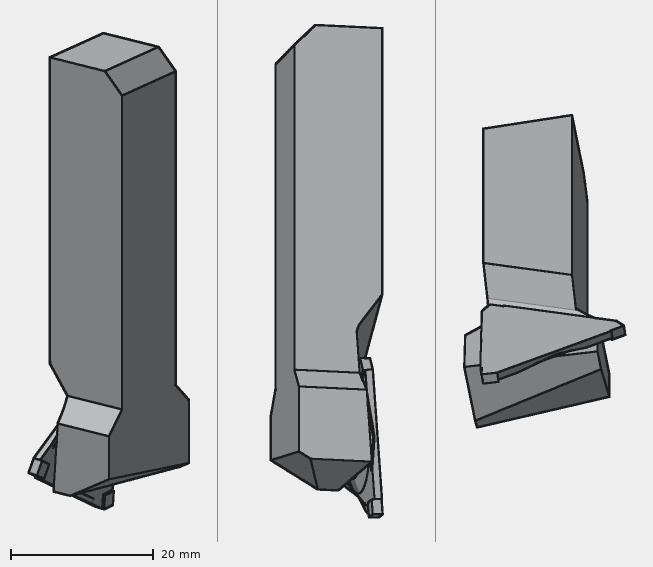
import cadquery as cq
import math

SHANK_SIDE = 12.62
SHANK_TOP = 63.06
TOP_CHAMFER = 3.0
HEAD_OVERHANG = 3.1
HEAD_STRAIGHT = 10.3
HEAD_FRONT = -HEAD_OVERHANG
HEAD_BACK = SHANK_SIDE + HEAD_OVERHANG

BEVEL_ANGLE = 30.0
BEVEL_HEIGHT_FRONT = 3.9
BEVEL_HEIGHT_BACK = 0.95

SEAT_ANGLE = 30.0
SEAT_TILT = 4.7
SEAT_DEPTH = 2.83
RUNOUT_START = 15.2
RUNOUT_ANGLE = 40.4
RUNOUT_RADIUS = 1.8
SEAT_END = -20.0
CLEARANCE = 2.0
SEAT_LENGTH = 60.0

INSERT_CENTER_Y = 5.91
INSERT_CENTER_Z = 4.2
INSERT_THICKNESS = 1.81
PLATE_THICKNESS = 1.1
NOSE_THICKNESS = 1.45
EDGE_DISTANCE = 7.17
NOSE_REACH = 11.03
NOSE_SIDE = 6.96
NOSE_LENGTH = 2.15
BOSS_BASE_RADIUS = 6.4
BOSS_TOP_RADIUS = 4.3
CORNERS = 3
NOTCH_FLOOR = 0.45
NOTCH_STEEP_RUN = 4.6
NOTCH_GENTLE_RUN = 6.5
NOTCH_WIDTH = EDGE_DISTANCE - BOSS_BASE_RADIUS

seat_cos = math.cos(math.radians(SEAT_ANGLE))
seat_sin = math.sin(math.radians(SEAT_ANGLE))
tilt = math.radians(SEAT_TILT)
seat_slope = math.tan(tilt)


def make_blank():
    shoulder_top = HEAD_STRAIGHT + HEAD_OVERHANG
    side_outline = [
        (HEAD_FRONT, 0),
        (HEAD_BACK, 0),
        (HEAD_BACK, HEAD_STRAIGHT),
        (SHANK_SIDE, shoulder_top),
        (SHANK_SIDE, SHANK_TOP),
        (0, SHANK_TOP),
        (0, shoulder_top),
        (HEAD_FRONT, HEAD_STRAIGHT),
    ]
    blank = cq.Workplane("YZ").polyline(side_outline).close().extrude(SHANK_SIDE)
    return blank.edges(">Z and >X").chamfer(TOP_CHAMFER)


def bevel_triangle(y, height):
    run = height / math.tan(math.radians(BEVEL_ANGLE))
    points = [
        cq.Vector(SHANK_SIDE, y, 0),
        cq.Vector(SHANK_SIDE, y, height),
        cq.Vector(SHANK_SIDE - run, y, 0),
    ]
    return cq.Wire.makePolygon(points, close=True)


def make_bevel():
    front = bevel_triangle(HEAD_FRONT, BEVEL_HEIGHT_FRONT)
    back = bevel_triangle(HEAD_BACK, BEVEL_HEIGHT_BACK)
    return cq.Workplane(cq.Solid.makeLoft([front, back], True))


def make_seat_cutter():
    runout_slope = math.tan(math.radians(RUNOUT_ANGLE))
    corner_across = (RUNOUT_START * runout_slope - SEAT_DEPTH) / (runout_slope + seat_slope)
    corner_x = SEAT_DEPTH + seat_slope * corner_across
    section = [
        (-CLEARANCE, RUNOUT_START + CLEARANCE / runout_slope),
        (corner_x, corner_across),
        (SEAT_DEPTH + seat_slope * SEAT_END, SEAT_END),
        (-CLEARANCE, SEAT_END),
    ]
    across_plane = cq.Plane(origin=(0, 0, 0), xDir=(1, 0, 0), normal=(0, -seat_cos, -seat_sin))
    cutter = cq.Workplane(across_plane).polyline(section).close().extrude(SEAT_LENGTH / 2, both=True)
    inner_corner = across_plane.toWorldCoords((corner_x, corner_across))
    inner_edge = cq.selectors.NearestToPointSelector(inner_corner.toTuple())
    return cutter.edges(inner_edge).fillet(RUNOUT_RADIUS)


def make_holder():
    return make_blank().cut(make_bevel()).cut(make_seat_cutter())


def insert_plane():
    center_across = seat_cos * INSERT_CENTER_Z - seat_sin * INSERT_CENTER_Y
    floor_x = SEAT_DEPTH + seat_slope * center_across
    face_x = floor_x - INSERT_THICKNESS / math.cos(tilt)
    normal = (math.cos(tilt), seat_sin * math.sin(tilt), -seat_cos * math.sin(tilt))
    return cq.Plane(
        origin=(face_x, INSERT_CENTER_Y, INSERT_CENTER_Z),
        xDir=(0, seat_cos, seat_sin),
        normal=normal,
    )


def turned(point, corner):
    angle = corner * 2 * math.pi / CORNERS
    x, y = point
    return (
        x * math.cos(angle) - y * math.sin(angle),
        x * math.sin(angle) + y * math.cos(angle),
    )


def make_notch():
    plane = insert_plane()
    start = plane.toWorldCoords((0, EDGE_DISTANCE - NOTCH_WIDTH))
    notch_plane = cq.Plane(origin=start, xDir=plane.xDir, normal=plane.yDir)
    section = [
        (0, -NOTCH_FLOOR),
        (NOTCH_STEEP_RUN, -PLATE_THICKNESS),
        (-NOTCH_GENTLE_RUN, -PLATE_THICKNESS),
    ]
    return cq.Workplane(notch_plane).polyline(section).close().extrude(NOTCH_WIDTH)


def make_boss():
    return (
        cq.Workplane(insert_plane())
        .workplane(offset=PLATE_THICKNESS)
        .circle(BOSS_BASE_RADIUS)
        .workplane(offset=INSERT_THICKNESS - PLATE_THICKNESS)
        .circle(BOSS_TOP_RADIUS)
        .loft(ruled=True)
    )


def make_insert():
    face = cq.Workplane(insert_plane())
    nose_root = NOSE_REACH - NOSE_LENGTH
    edge_angle = math.pi / (2 * CORNERS)
    flat_end = (NOSE_REACH * math.cos(edge_angle) - EDGE_DISTANCE) / math.sin(edge_angle)
    nose_outline = [(NOSE_REACH, flat_end), (NOSE_REACH, NOSE_SIDE), (nose_root, NOSE_SIDE)]
    plate_corner = nose_outline + [(nose_root, EDGE_DISTANCE)]
    pad_outline = nose_outline + [(nose_root, flat_end)]

    outline = [turned(point, corner) for corner in range(CORNERS) for point in plate_corner]
    insert = face.polyline(outline).close().extrude(PLATE_THICKNESS)

    axis_start = insert_plane().origin
    axis_end = axis_start + insert_plane().zDir
    for corner in range(CORNERS):
        pad_points = [turned(point, corner) for point in pad_outline]
        pad = face.polyline(pad_points).close().extrude(NOSE_THICKNESS)
        notch = make_notch().rotate(axis_start, axis_end, corner * 360 / CORNERS)
        insert = insert.cut(notch).union(pad)
    return insert.union(make_boss())


holder = make_holder()
insert = make_insert()
result = cq.Compound.makeCompound([holder.solids().val(), insert.solids().val()])